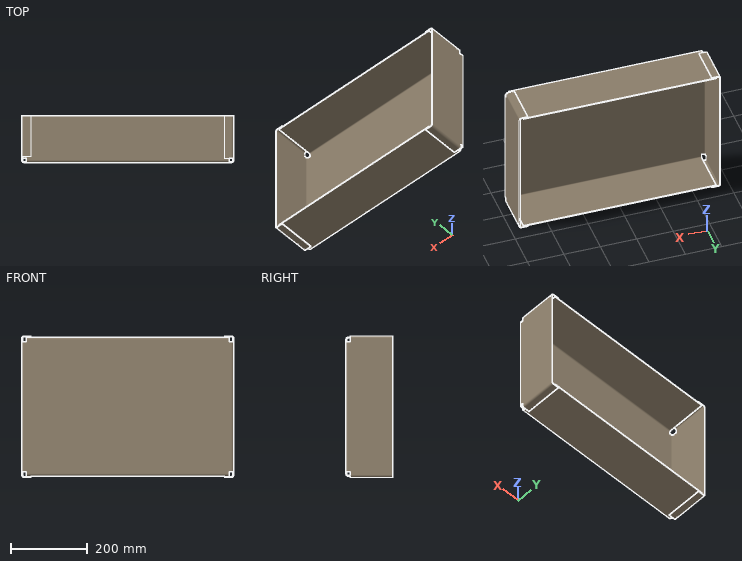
import cadquery as cq

width = 552.5
depth = 122.5
height = 369.0
sheet = 3.0
inner_radius = 3.5
bend_radius = inner_radius + sheet
lip_length = 24.0
relief = 11.5
deep_relief = 16.0

lip_gap = 0.3

lip_height = height - 2 * sheet
inner_height = lip_height - 2 * lip_gap


def block(x_start, x_end, y_start, y_end, z_start, z_end):
    """Box spanning the given limits."""
    return (
        cq.Workplane("XY")
        .box(x_end - x_start, y_end - y_start, z_end - z_start, centered=False)
        .translate((x_start, y_start, z_start))
    )


def centered_block(x_size, z_size, y_start, y_end):
    """Box centred about X = 0 and Z = 0."""
    return block(-x_size / 2, x_size / 2, y_start, y_end, -z_size / 2, z_size / 2)


def plate_with_top_and_bottom():
    """Front plate bent back into the top and bottom walls."""
    length = width - 2 * relief
    outer = centered_block(length, inner_height, 0, depth)
    outer = outer.faces("<Y").edges("|X").fillet(bend_radius)
    cavity = centered_block(length, inner_height - 2 * sheet, sheet, depth)
    cavity = cavity.faces("<Y").edges("|X").fillet(inner_radius)
    return outer.cut(cavity)


def plate_with_sides():
    """Front plate bent back into the left and right walls."""
    length = inner_height - 2 * relief
    outer = centered_block(width, length, 0, depth)
    outer = outer.faces("<Y").edges("|Z").fillet(bend_radius)
    cavity = centered_block(width - 2 * sheet, length, sheet, depth)
    cavity = cavity.faces("<Y").edges("|Z").fillet(inner_radius)
    return outer.cut(cavity)


def side_channel(side, top_relief):
    """Side wall with its two lips; side is -1 for left and 1 for right."""
    outer = centered_block(width, height, relief, depth).edges("|Y").fillet(bend_radius)
    cavity = centered_block(width - 2 * sheet, lip_height, relief, depth)
    ring = outer.cut(cavity.edges("|Y").fillet(inner_radius))
    x_limits = sorted((side * width / 2, side * (width / 2 - lip_length)))
    channel = ring.intersect(block(*x_limits, relief, depth, -height / 2, height / 2))
    top_cut = block(*x_limits, 0, top_relief, inner_height / 2 - relief, height / 2)
    return channel.cut(top_cut)


result = (
    plate_with_top_and_bottom()
    .union(plate_with_sides())
    .union(side_channel(-1, deep_relief))
    .union(side_channel(1, relief))
)